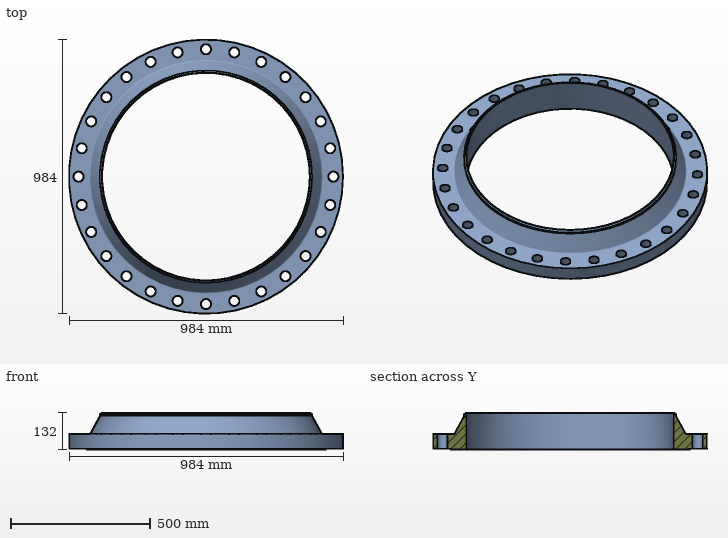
import cadquery as cq
import math

flange_radius = 492.0
raised_face_radius = 429.0
raised_face_height = 2.0
flange_top = 56.0

bore_radius = 372.0
neck_radius = 381.0
hub_base_radius = 416.0
hub_fillet_radius = 6.0
total_height = 132.0
neck_length = 6.0

root_face_width = 2.0
bevel_angle = math.radians(37.5)
bevel_width = neck_radius - bore_radius - root_face_width
bevel_height = bevel_width * math.tan(bevel_angle)

bolt_count = 28
bolt_circle_diameter = 914.0
bolt_hole_diameter = 35.0

bevel_bottom = total_height - bevel_height
neck_bottom = bevel_bottom - neck_length


def make_ring():
    """Revolve the flange, hub and weld neck section about Z."""
    section = (
        cq.Workplane("XZ")
        .moveTo(bore_radius, 0)
        .lineTo(raised_face_radius, 0)
        .lineTo(raised_face_radius, raised_face_height)
        .lineTo(flange_radius, raised_face_height)
        .lineTo(flange_radius, flange_top)
        .lineTo(hub_base_radius, flange_top)
        .lineTo(neck_radius, neck_bottom)
        .lineTo(neck_radius, bevel_bottom)
        .lineTo(bore_radius + root_face_width, total_height)
        .lineTo(bore_radius, total_height)
        .close()
    )
    return section.revolve(360, (0, 0, 0), (0, 1, 0))


def fillet_hub_base(ring):
    """Round the inside corner where the hub meets the flange."""
    corner = ring.edges(cq.selectors.NearestToPointSelector((-hub_base_radius, 0, flange_top)))
    return corner.fillet(hub_fillet_radius)


def drill_bolt_holes(ring):
    """Drill the evenly spaced bolt holes through the flange."""
    holes = (
        cq.Workplane("XY")
        .polarArray(bolt_circle_diameter / 2, 0, 360, bolt_count)
        .circle(bolt_hole_diameter / 2)
        .extrude(total_height)
    )
    return ring.cut(holes)


result = drill_bolt_holes(fillet_hub_base(make_ring()))